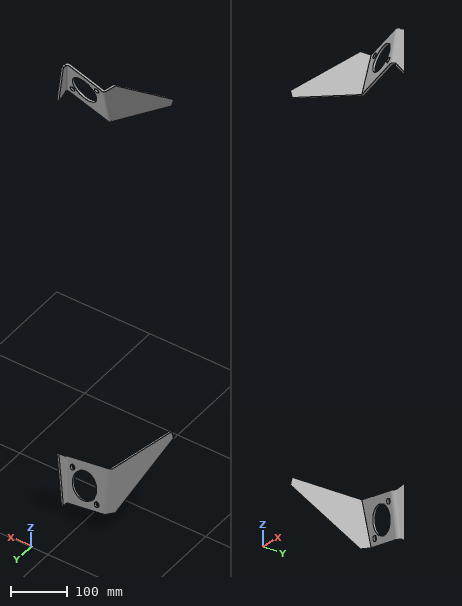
import cadquery as cq
import math

overall_height = 1013.0

sheet = 5.0
plate_center = (20.0, 53.0, 457.0)
plate_right = (0.97, -0.08, 0.22)
plate_front = (-0.14, -0.96, 0.25)
plate_top = 43.0
plate_bottom = -47.0
large_hole = 57.0
small_hole = 10.0
small_hole_offset = 28.0

flange_bend_inner = 3.0
flange_bend_outer = flange_bend_inner + sheet
flange_face = 46.0
flange_fold = flange_face - flange_bend_outer
flange_top_depth = 15.0
flange_top_tip = 46.0
flange_bottom_depth = 27.0
flange_bottom_tip = -58.0

wing_fold_top = -43.0
wing_fold_bottom = -57.0
wing_bend_angle = 75.0
wing_shoulder = 20.0
wing_tip_upper = (126.0, -40.0)
wing_tip_lower = (120.0, -54.0)

wing_fold_run = wing_fold_top - wing_fold_bottom
wing_fold_rise = plate_top - plate_bottom
wing_fold_length = math.hypot(wing_fold_run, wing_fold_rise)
wing_fold_lean = math.degrees(math.atan2(wing_fold_run, wing_fold_rise))


def make_plate():
    """Flat plate in XY with its front face at Z = 0 and its three through holes."""
    plate = (
        cq.Workplane("XY")
        .polyline([
            (wing_fold_bottom, plate_bottom),
            (flange_fold, plate_bottom),
            (flange_fold, plate_top),
            (wing_fold_top, plate_top),
        ])
        .close()
        .extrude(-sheet)
    )
    large = cq.Workplane("XY").circle(large_hole / 2).extrude(-sheet)
    small = (
        cq.Workplane("XY")
        .pushPoints([
            (-small_hole_offset, small_hole_offset),
            (small_hole_offset, -small_hole_offset),
        ])
        .circle(small_hole / 2)
        .extrude(-sheet)
    )
    return plate.cut(large).cut(small)


def make_flange():
    """Quarter-round bend and the slanted flange behind it."""
    outer_middle = flange_bend_outer * math.sqrt(0.5)
    inner_middle = flange_bend_inner * math.sqrt(0.5)
    bend = (
        cq.Workplane("XZ", origin=(flange_fold, plate_top, -flange_bend_outer))
        .moveTo(0, flange_bend_outer)
        .threePointArc((outer_middle, outer_middle), (flange_bend_outer, 0))
        .lineTo(flange_bend_inner, 0)
        .threePointArc((inner_middle, inner_middle), (0, flange_bend_inner))
        .close()
        .extrude(plate_top - plate_bottom)
    )
    leaf = (
        cq.Workplane("YZ", origin=(flange_face, 0, 0))
        .polyline([
            (plate_top, -flange_bend_outer),
            (flange_top_tip, -flange_top_depth),
            (flange_bottom_tip, -flange_bottom_depth),
            (plate_bottom, -flange_bend_outer),
        ])
        .close()
        .extrude(-sheet)
    )
    return bend.union(leaf)


def make_wing():
    """Tapered wing with a bend that is sharp inside and rounded outside."""
    bend = (
        cq.Workplane("YZ")
        .polyline([(0, 0), (wing_fold_length, 0), (wing_fold_length, -sheet), (0, -sheet)])
        .close()
        .revolve(wing_bend_angle, (0, 0), (1, 0))
    )
    leaf = (
        cq.Workplane("XY")
        .polyline([
            (0, 0),
            (-wing_tip_lower[0], wing_tip_lower[1]),
            (-wing_tip_upper[0], wing_tip_upper[1]),
            (-wing_shoulder, wing_fold_length),
            (0, wing_fold_length),
        ])
        .close()
        .extrude(-sheet)
        .rotate((0, 0, 0), (0, 1, 0), wing_bend_angle)
    )
    return (
        bend.union(leaf)
        .rotate((0, 0, 0), (0, 0, 1), -wing_fold_lean)
        .translate((wing_fold_bottom, plate_bottom, 0))
    )


def make_bracket():
    """Upper bracket, tilted into place with its highest point at half the overall height."""
    bracket = make_plate().union(make_flange()).union(make_wing())
    place = cq.Plane(origin=plate_center, xDir=plate_right, normal=plate_front)
    tilted = bracket.val().moved(cq.Location(place))
    return tilted.translate(cq.Vector(0, 0, overall_height / 2 - tilted.BoundingBox().zmax))


upper_bracket = make_bracket()
lower_bracket = upper_bracket.mirror("XY")

result = cq.Compound.makeCompound([*upper_bracket.Solids(), *lower_bracket.Solids()])